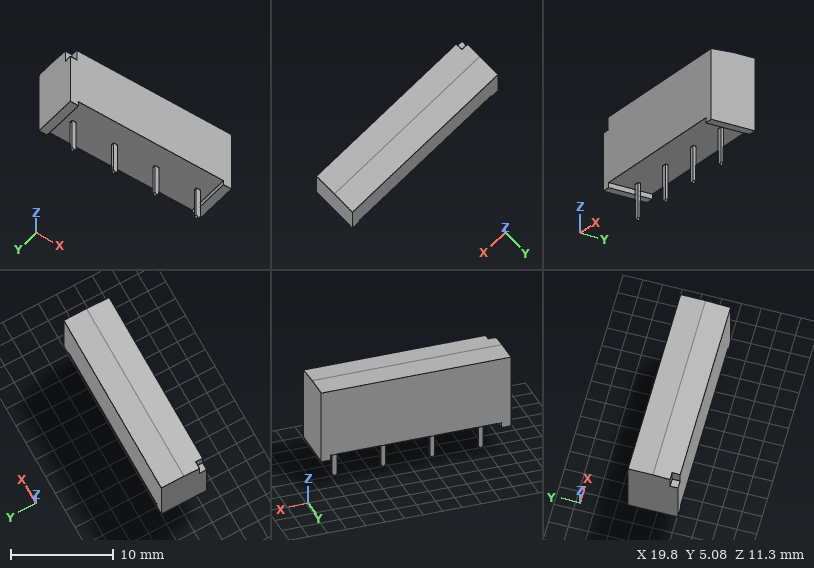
import cadquery as cq

length = 19.8
width = 5.08
overall_height = 11.3
foot_length = 1.0
foot_height = 0.55

pin_count = 4
pin_pitch = 5.08
pin_width = 0.5
pin_thickness = 0.3
pin_tip_height = pin_width / 2
pin_length = 4.0

base_z = foot_height
pin_tip_z = base_z - pin_length
top_z = overall_height + pin_tip_z

ridge_y = 0.0
roof_drop = 0.2
notch_size = 0.8
notch_floor_z = 6.3

x_left = -length / 2
y_front = -width / 2
y_back = width / 2
front_top_z = top_z - roof_drop


def make_housing():
    """Extruded side profile with a clearance channel between the end feet and a corner notch."""
    body = (
        cq.Workplane("YZ")
        .polyline([
            (y_front, 0),
            (y_back, 0),
            (y_back, top_z),
            (ridge_y, top_z),
            (y_front, front_top_z),
        ])
        .close()
        .extrude(length / 2, both=True)
    )
    channel = cq.Workplane("XY").box(
        length - 2 * foot_length, width, foot_height, centered=(True, True, False)
    )
    notch = (
        cq.Workplane("XY")
        .box(notch_size, notch_size, top_z - notch_floor_z, centered=False)
        .translate((x_left, y_front, notch_floor_z))
    )
    return body.cut(channel).cut(notch)


def make_pin(x):
    """Flat pin hanging from the housing underside, pointed at its lower end."""
    shoulder_z = pin_tip_z + pin_tip_height
    return (
        cq.Workplane("XZ")
        .polyline([
            (x - pin_width / 2, base_z),
            (x + pin_width / 2, base_z),
            (x + pin_width / 2, shoulder_z),
            (x, pin_tip_z),
            (x - pin_width / 2, shoulder_z),
        ])
        .close()
        .extrude(pin_thickness / 2, both=True)
    )


housing = make_housing()

first_pin_x = -(pin_count - 1) * pin_pitch / 2
pins = [make_pin(first_pin_x + index * pin_pitch) for index in range(pin_count)]

result = cq.Compound.makeCompound([housing.val(), *[pin.val() for pin in pins]])